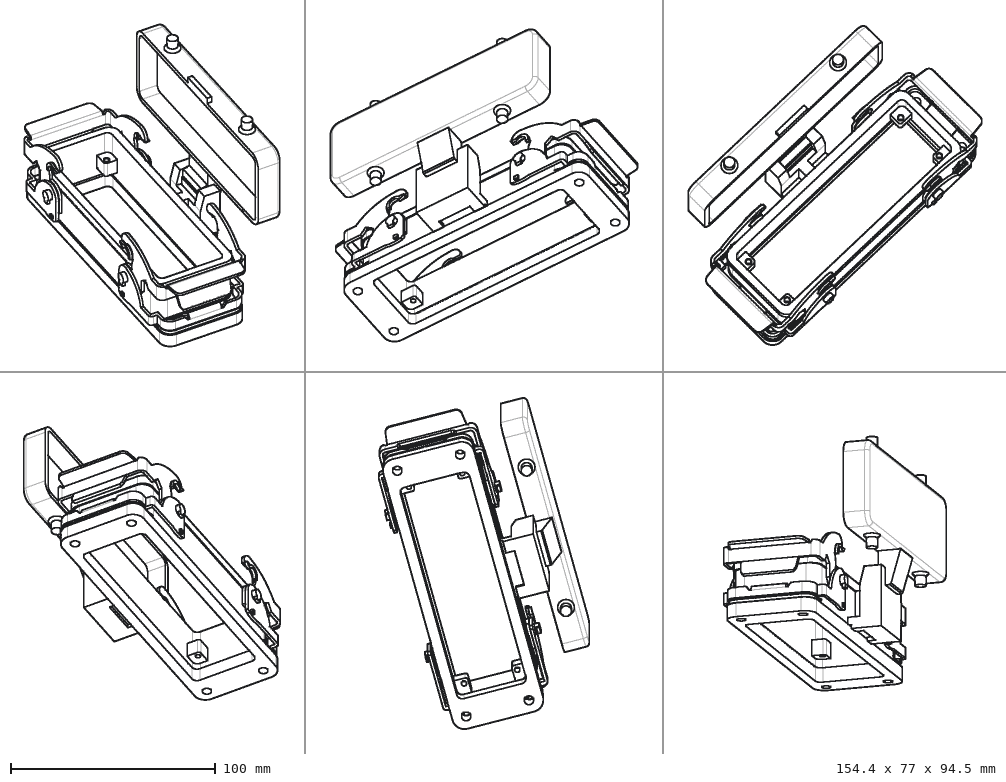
import cadquery as cq


base_length, base_width, base_height = 142.6, 45.8, 7.1
base_radius = 6.1
body_length, body_width = 121.4, 44.1
ledge_length, ledge_radius, ledge_top = 140.8, 5.2, 8.9
body_radius = 6.2
rim_length, rim_width, rim_radius = 122.4, 45.0, 5.6
rim_bottom, rim_top = 27.1, 32.1
foot_top = 9.7
cavity_length, cavity_width, cavity_radius = 114.7, 36.2, 2.8
lower_opening_length, lower_opening_width = 111.8, 35.0
lower_opening_top = 7.3
wall_overlap = 1.0
mount_hole_x, mount_hole_y, mount_hole_diameter = 65.0, 15.9, 4.5

block_inner_x, block_inner_y = 49.4, 11.1
block_bottom, block_top, block_radius = 12.0, 20.0, 1.3
block_hole_x, block_hole_y = 52.05, 13.5
block_hole_diameter, block_hole_mouth, block_hole_mouth_angle = 2.5, 3.0, 90

lid_length, lid_bottom, lid_top, lid_radius = 121.4, 45.1, 88.3, 6.2
lid_front, lid_back = 35.2, 48.1
lid_back_fillet = 2.0
lid_wall_x, lid_wall_z, lid_inner_radius = 2.9, 2.4, 2.9
lid_recess_depth = 10.0
grip_width, grip_top, grip_thickness = 19.2, 91.5, 2.5
peg_x, peg_y, peg_radius, peg_length = 37.15, 42.1, 2.7, 6.2
peg_foot_radius, peg_foot_height = 4.1, 1.5

hinge_half_width, arm_half_width, rib_half_width = 15.1, 9.1, 3.0
hinge_back, hinge_face, hinge_top_face = 39.5, 28.4, 30.6
hinge_bottom, hinge_top, hinge_slope_bottom = 5.2, 36.3, 27.7
pad_top, pad_front = 11.0, 24.1
arm_bottom, arm_back, arm_neck_front, arm_face = 27.5, 42.5, 35.8, 32.2
arm_shelf_back_z, arm_shelf_front_z, arm_heel_chamfer = 37.1, 36.3, 0.7
toe_half_width, toe_front, toe_top = 8.6, 31.1, 31.9

pivot_x, pivot_z, pivot_radius = 37.5, 23.5, 2.6
pivot_outer_y = 28.9
key_width, key_bottom, key_thickness = 3.0, 19.4, 1.6

lock_end, lock_half_width, lock_thickness, lock_radius = 68.8, 24.7, 1.6, 3.4
lock_bottom, lock_top, lock_shoulder_x = 28.4, 36.6, 60.4
lock_plate_lap = 2.0
handle_end, handle_half_width, handle_thickness = 77.2, 20.1, 1.4
handle_taper, handle_radius = 1.1, 3.0
handle_bend_radius = 1.5
relief_half_width, relief_floor_half_width, relief_floor = 22.0, 20.9, 35.0
lip_half_width, lip_corner_half_width, lip_tip_half_width = 14.9, 14.2, 12.8
lip_bottom, lip_corner_z, lip_lean, lip_thickness = 20.4, 22.5, 4.5, 1.4
hook_x, hook_z, hook_radius = 37.3, 37.9, 2.6
hook_throat_bottom = 36.4
hook_band_radius, hook_band_offset, hook_band_top = 4.2, 1.3, 41.1

bail_end, bail_half_width, bail_thickness, bail_radius = 70.8, 22.5, 1.5, 5.4
bail_bottom, bail_top = 9.7, 15.1
bail_plate_outer_y = 26.5
jog_outer_x, jog_inner_x, jog_radius = 62.4, 60.4, 1.9
bail_dip_half_width, bail_dip_slope, bail_dip_z = 10.0, 1.6, 13.1
tongue_half_width, tongue_thickness = 9.0, 1.0
tongue_crest_x, tongue_crest_z = 68.6, 15.4
tongue_bend = (-70.1, 14.8)
tongue_tip_x, tongue_tip_z = 61.0, 9.0
tongue_bend_depth = 1.5
stud_x, stud_z, stud_length, stud_height, stud_projection = 35.4, 11.5, 2.4, 2.0, 0.9
stud_radius = 0.5


def box(x0, x1, y0, y1, z0, z1):
    """Axis-aligned block between two opposite corners."""
    return cq.Workplane("XY").box(x1 - x0, y1 - y0, z1 - z0, centered=False).translate((x0, y0, z0))


def rounded_block(length, width, z0, z1, radius):
    """Block centred on the origin with rounded vertical edges."""
    block = box(-length / 2, length / 2, -width / 2, width / 2, z0, z1)
    return block.edges("|Z").fillet(radius)


def mirrored_x(shape):
    return shape.union(shape.mirror("YZ"))


def mirrored_y(shape):
    return shape.union(shape.mirror("XZ"))


def all_corners(x, y):
    return [(sx * x, sy * y) for sx in (-1, 1) for sy in (-1, 1)]


def make_housing():
    housing = rounded_block(base_length, base_width, 0, base_height, base_radius)
    housing = housing.union(rounded_block(ledge_length, body_width, 0, ledge_top, ledge_radius))
    housing = housing.union(rounded_block(body_length, body_width, 0, rim_top, body_radius))
    housing = housing.union(rounded_block(rim_length, rim_width, rim_bottom, rim_top, rim_radius))
    housing = housing.union(rounded_block(rim_length, body_width, ledge_top, foot_top, body_radius))
    housing = housing.cut(
        rounded_block(cavity_length, cavity_width, lower_opening_top, rim_top, cavity_radius))
    housing = housing.cut(
        rounded_block(lower_opening_length, lower_opening_width, 0, lower_opening_top, cavity_radius))
    mount_holes = (
        cq.Workplane("XY").pushPoints(all_corners(mount_hole_x, mount_hole_y))
        .circle(mount_hole_diameter / 2).extrude(ledge_top))
    return housing.cut(mount_holes).union(make_corner_blocks())


def make_corner_blocks():
    block = box(
        -cavity_length / 2 - wall_overlap, -block_inner_x,
        -cavity_width / 2 - wall_overlap, -block_inner_y,
        block_bottom, block_top)
    block = block.edges("|Z and >X and >Y").fillet(block_radius)
    block = (
        block.faces(">Z").workplane(origin=(-block_hole_x, -block_hole_y, block_top))
        .cskHole(block_hole_diameter, block_hole_mouth, block_hole_mouth_angle))
    return mirrored_y(mirrored_x(block))


def make_lid():
    height = lid_top - lid_bottom
    middle_z = (lid_top + lid_bottom) / 2
    lid = (
        box(-lid_length / 2, lid_length / 2, lid_front, lid_back, lid_bottom, lid_top)
        .edges("|Y").fillet(lid_radius)
        .faces(">Y").edges().fillet(lid_back_fillet))
    recess = (
        cq.Workplane("XZ", origin=(0, lid_front, middle_z))
        .rect(lid_length - 2 * lid_wall_x, height - 2 * lid_wall_z)
        .extrude(-lid_recess_depth)
        .edges("|Y").fillet(lid_inner_radius))
    grip = box(
        -grip_width / 2, grip_width / 2, lid_front, lid_front + grip_thickness,
        lid_top - lid_wall_z, grip_top)
    pegs = mirrored_x(make_peg())
    pegs = pegs.union(pegs.mirror("XY", (0, 0, middle_z)))
    return lid.cut(recess).union(grip).union(pegs)


def make_peg():
    """Locking peg with a conical foot, standing on the upper edge of the lid."""
    profile = (
        cq.Workplane("XZ")
        .moveTo(0, -lid_wall_z / 2)
        .lineTo(peg_foot_radius, -lid_wall_z / 2)
        .lineTo(peg_foot_radius, 0)
        .lineTo(peg_radius, peg_foot_height)
        .lineTo(peg_radius, peg_length)
        .lineTo(0, peg_length)
        .close())
    return profile.revolve(360, (0, 0, 0), (0, 1, 0)).translate((-peg_x, peg_y, lid_top))


def make_hinge():
    """Bracket on the back wall: two ears, the web between them and a central rib."""
    wall_y = body_width / 2 - wall_overlap
    ear_outline = [
        (hinge_back, hinge_bottom), (hinge_back, hinge_top), (hinge_top_face, hinge_top),
        (hinge_face, hinge_slope_bottom), (hinge_face, pad_top), (wall_y, pad_top),
        (wall_y, base_height), (pad_front, base_height), (pad_front, hinge_bottom)]
    ear = (
        cq.Workplane("YZ", origin=(-hinge_half_width, 0, 0)).polyline(ear_outline).close()
        .extrude(hinge_half_width - arm_half_width))
    web = box(
        -arm_half_width, arm_half_width, hinge_face, hinge_back, hinge_bottom, arm_bottom)
    rib = box(-rib_half_width, rib_half_width, wall_y, hinge_face, base_height, arm_bottom)
    pad = box(-arm_half_width, arm_half_width, wall_y, hinge_face, base_height, pad_top)
    return mirrored_x(ear).union(web).union(rib).union(pad)


def make_lid_arm():
    """Arm below the lid that sits between the hinge ears."""
    arm_top = lid_bottom + lid_wall_z
    arm_outline = [
        (lid_back - lid_back_fillet, arm_top), (lid_back - lid_back_fillet / 3, lid_bottom),
        (arm_back, arm_bottom + arm_heel_chamfer),
        (arm_back - arm_heel_chamfer, arm_bottom), (arm_face, arm_bottom),
        (arm_face, arm_shelf_front_z), (arm_neck_front, arm_shelf_back_z),
        (arm_neck_front, arm_top)]
    arm = (
        cq.Workplane("YZ", origin=(-arm_half_width, 0, 0)).polyline(arm_outline).close()
        .extrude(2 * arm_half_width))
    toe = box(-toe_half_width, toe_half_width, toe_front, arm_face, arm_bottom, toe_top)
    return arm.union(toe)


def u_strap(end, half_width, radius, thickness, stop, z0, z1):
    """Flat strap bent round the -X end of the housing, legs running to x = -stop."""
    outer = box(-end, 0, -half_width, half_width, z0, z1).edges("|Z and <X").fillet(radius)
    inner = box(
        -end + thickness, 0, thickness - half_width, half_width - thickness, z0, z1)
    inner = inner.edges("|Z and <X").fillet(radius - thickness)
    return outer.cut(inner).intersect(box(-end, -stop, -half_width, half_width, z0, z1))


def front_plate(sketch, outer_y, thickness):
    """Plate cut from an X-Z outline whose outer face lies at y = -outer_y."""
    return sketch.extrude(thickness).translate((0, thickness - outer_y, 0))


def lock_plate_outline():
    """X-Z outline of the hook-shaped side plate."""
    inner_end_x = lock_shoulder_x + lock_plate_lap
    back, crest = (-50.2, 44.1), (-37.2, 47.3)
    brow, nose = (-32.4, 46.0), (-30.9, 43.3)
    jaw, chin = (-31.5, 40.7), (-34.6, 39.0)
    throat_x = hook_x + hook_radius
    throat_step_x, neck_x, neck_z = 42.1, 40.9, 32.5
    heel_x, heel_top_z, heel_z = 50.5, 28.9, 22.0
    foot_x, foot_z = 44.5, 15.0
    notch_x, notch_left_x = 54.5, 57.6
    cheek_radius = 6.0
    return (
        cq.Workplane("XZ")
        .moveTo(-inner_end_x, lock_top)
        .lineTo(-lock_shoulder_x, lock_top)
        .threePointArc(back, crest)
        .threePointArc(brow, nose)
        .threePointArc(jaw, chin)
        .threePointArc((-hook_x, hook_z + hook_radius), (-throat_x, hook_z))
        .lineTo(-throat_x, hook_throat_bottom)
        .lineTo(-throat_step_x, hook_throat_bottom)
        .lineTo(-neck_x, neck_z)
        .lineTo(-neck_x, pivot_z + cheek_radius)
        .lineTo(-pivot_x, pivot_z + cheek_radius)
        .radiusArc((-pivot_x + cheek_radius, pivot_z), cheek_radius)
        .lineTo(-pivot_x + cheek_radius, foot_z)
        .lineTo(-foot_x, foot_z)
        .lineTo(-heel_x, heel_z)
        .lineTo(-heel_x, heel_top_z)
        .lineTo(-notch_x, rim_top)
        .lineTo(-notch_left_x, lock_bottom)
        .lineTo(-inner_end_x, lock_bottom)
        .close())


def make_hook_band(outer_y, thickness):
    """Band along the throat of the hook whose outer face lies at y = -outer_y."""
    left_x = -hook_x - hook_band_radius
    right_x = -hook_x + hook_band_radius
    crown_top = hook_z + hook_band_radius
    inner_y = thickness - outer_y
    crown = (
        cq.Workplane("XZ", origin=(0, inner_y, 0)).center(-hook_x, hook_z)
        .circle(hook_band_radius).extrude(thickness)
        .intersect(box(left_x, right_x, -outer_y, inner_y, hook_z, crown_top)))
    leg = box(left_x, -hook_x, -outer_y, inner_y, hook_throat_bottom, hook_z)
    chin = box(-hook_x, 0, -outer_y, inner_y, hook_z, hook_band_top)
    band = crown.union(leg).union(chin)
    return band.intersect(front_plate(lock_plate_outline(), outer_y, thickness))


def make_lock_plate():
    """Side plate whose hook throat is pressed outward."""
    plate = front_plate(lock_plate_outline(), lock_half_width, lock_thickness)
    plate = plate.cut(
        make_hook_band(lock_half_width - lock_thickness + hook_band_offset, hook_band_offset))
    return plate.union(make_hook_band(lock_half_width + hook_band_offset, lock_thickness))


def make_handle():
    """Flat handle with a rounded bend where it meets the end wall of the lever."""
    tab = (
        cq.Workplane("XY", origin=(0, 0, lock_top - handle_thickness))
        .polyline([
            (-lock_end, -handle_half_width), (-handle_end, handle_taper - handle_half_width),
            (-handle_end, handle_half_width - handle_taper), (-lock_end, handle_half_width)])
        .close().extrude(handle_thickness)
        .edges("|Z and <X").fillet(handle_radius))
    bend = box(
        -lock_end, -lock_end + lock_thickness, -handle_half_width, handle_half_width,
        lock_bottom, lock_top)
    return tab.union(bend.edges("|Y and >X and >Z").fillet(handle_bend_radius))


def make_lip():
    """Finger lip that leans outward and downward below the end of the lever."""
    root_top = lock_bottom + lip_thickness
    inner_x = -lock_end + lock_thickness
    slant = (
        cq.Workplane("XZ", origin=(0, lip_half_width, 0))
        .polyline([
            (inner_x, root_top), (-lock_end, root_top), (-lock_end, lock_bottom),
            (-lock_end - lip_lean + lip_thickness, lip_bottom + lip_thickness / 2),
            (-lock_end - lip_lean + 2 * lip_thickness, lip_bottom),
            (inner_x, lock_bottom)])
        .close().extrude(2 * lip_half_width))
    shield = (
        cq.Workplane("YZ", origin=(-handle_end, 0, 0))
        .polyline([
            (-lip_half_width, root_top), (lip_half_width, root_top),
            (lip_corner_half_width, lip_corner_z), (lip_tip_half_width, lip_bottom),
            (-lip_tip_half_width, lip_bottom), (-lip_corner_half_width, lip_corner_z)])
        .close().extrude(handle_end))
    return slant.intersect(shield)


def make_lock_lever():
    strap = u_strap(
        lock_end, lock_half_width, lock_radius, lock_thickness, lock_shoulder_x,
        lock_bottom, lock_top)
    relief = (
        cq.Workplane("YZ", origin=(-lock_end, 0, 0))
        .polyline([
            (-relief_floor_half_width, relief_floor), (relief_floor_half_width, relief_floor),
            (relief_half_width, lock_top), (-relief_half_width, lock_top)])
        .close().extrude(lock_radius))
    return strap.cut(relief).union(make_handle()).union(make_lip()).union(mirrored_y(make_lock_plate()))


def bail_plate_outline():
    """X-Z outline of the round-topped side plate and the strap leading to it."""
    arc_foot_x, crest_x, edge_x = 53.0, 37.7, 31.4
    nose_radius = crest_x - edge_x
    crest_z = 29.5
    shoulder = (-46.4, 25.9)
    corner_x, corner_bottom, corner_top = 33.0, 9.6, 10.7
    belly_z, belly_end_x = 9.0, 42.3
    return (
        cq.Workplane("XZ")
        .moveTo(-jog_inner_x, bail_top)
        .lineTo(-arc_foot_x, bail_top)
        .threePointArc(shoulder, (-crest_x, crest_z))
        .radiusArc((-edge_x, crest_z - nose_radius), nose_radius)
        .lineTo(-edge_x, corner_top)
        .lineTo(-corner_x, corner_bottom)
        .threePointArc((-crest_x, belly_z), (-belly_end_x, bail_bottom))
        .lineTo(-jog_inner_x, bail_bottom)
        .close())


def make_bail_jog():
    """Offset bend that carries the strap outward to the side plate."""
    jog = box(
        -jog_outer_x, -jog_inner_x, -bail_plate_outer_y, bail_thickness - bail_half_width,
        bail_bottom, bail_top)
    return jog.edges("|Z and <X and <Y").fillet(jog_radius)


def make_tongue():
    """Spring tongue rising from the bail end and falling inward to the housing foot."""
    return (
        cq.Workplane("XZ", origin=(0, tongue_half_width, 0))
        .moveTo(-bail_end, bail_dip_z - tongue_thickness)
        .lineTo(-bail_end, bail_dip_z)
        .threePointArc(tongue_bend, (-tongue_crest_x, tongue_crest_z))
        .lineTo(-tongue_tip_x, tongue_tip_z + tongue_thickness)
        .lineTo(-tongue_tip_x, tongue_tip_z)
        .lineTo(-tongue_crest_x, tongue_crest_z - tongue_bend_depth)
        .lineTo(-bail_end + bail_thickness, bail_dip_z - tongue_thickness)
        .close().extrude(2 * tongue_half_width))


def make_bail():
    strap = u_strap(
        bail_end, bail_half_width, bail_radius, bail_thickness, jog_inner_x,
        bail_bottom, bail_top)
    dip_top = bail_dip_half_width + bail_dip_slope
    dip = (
        cq.Workplane("YZ", origin=(-bail_end, 0, 0))
        .polyline([
            (-bail_dip_half_width, bail_dip_z), (bail_dip_half_width, bail_dip_z),
            (dip_top, bail_top), (-dip_top, bail_top)])
        .close().extrude(bail_thickness))
    plate = front_plate(bail_plate_outline(), bail_plate_outer_y, bail_thickness)
    stud = box(
        -stud_x - stud_length / 2, -stud_x + stud_length / 2,
        -bail_plate_outer_y - stud_projection, -bail_plate_outer_y,
        stud_z - stud_height / 2, stud_z + stud_height / 2)
    stud = stud.edges("|Y").fillet(stud_radius)
    side = plate.union(make_bail_jog()).union(stud)
    return strap.cut(dip).union(mirrored_y(side)).union(make_tongue())


def make_pivot():
    """Pivot pin with a key under its head, running out from the long wall."""
    wall_y = body_width / 2 - wall_overlap
    pin = (
        cq.Workplane("XZ", origin=(0, -wall_y, 0)).center(-pivot_x, pivot_z)
        .circle(pivot_radius).extrude(pivot_outer_y - wall_y))
    key = box(
        -pivot_x - key_width / 2, -pivot_x + key_width / 2,
        -pivot_outer_y, -pivot_outer_y + key_thickness, key_bottom, pivot_z)
    return pin.union(key)


lever_set = make_lock_lever().union(make_bail()).union(mirrored_y(make_pivot()))
result = make_housing().union(make_hinge()).union(make_lid_arm()).union(make_lid())
result = result.union(mirrored_x(lever_set))